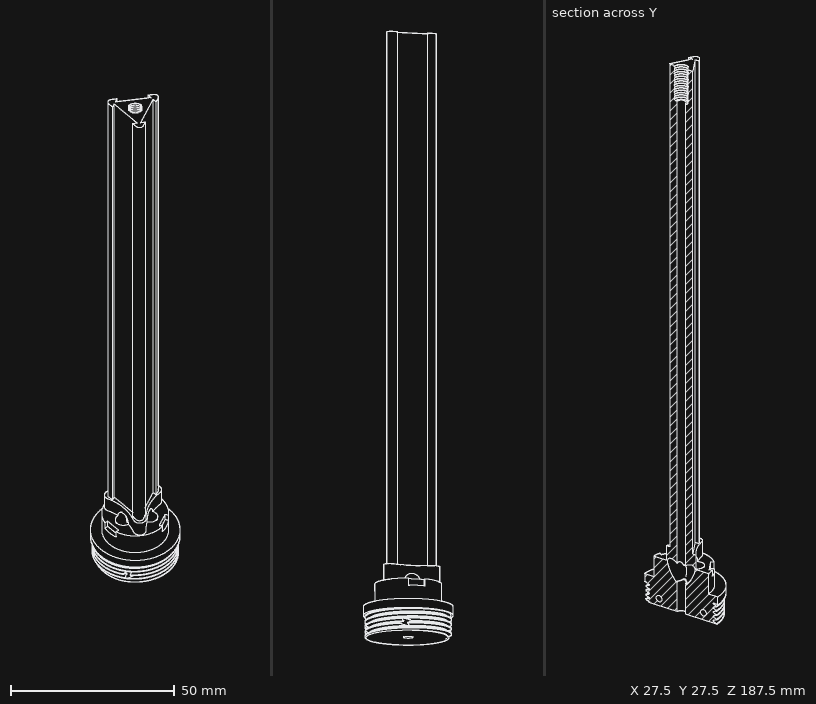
import cadquery as cq
import math

TOTAL_HEIGHT = 187.49
THREAD_TOP = 6.8
FLANGE_TOP = 9.6
COLLAR_TOP = 16.6
SOCKET_TOP = 21.6

FLANGE_DIA = 27.5
COLLAR_DIA = 20.5

THREAD_ROOT_DIA = 24.0
THREAD_CREST_DIA = 26.6
THREAD_PITCH = 1.5
THREAD_BASE_WIDTH = 1.42
THREAD_CREST_WIDTH = 0.3
THREAD_OVERLAP = 0.15
THREAD_PHASE = 0.1

SIDES = 3
ROD_LOBE_DISTANCE = 7.6
ROD_LOBE_RADIUS = 1.25
ROD_FLAT_DISTANCE = 3.8
ROD_FLAT_HALF_WIDTH = 5.5
ROD_LIP_HALF_WIDTH = 4.8
SOCKET_LOBE_DISTANCE = 8.0
SOCKET_LOBE_RADIUS = 1.94
SOCKET_SIDE_DISTANCE = 4.6

PASSAGE_DIA = 5.0
PASSAGE_DISTANCE = 4.7
PASSAGE_TILT = 45.0
PASSAGE_LENGTH = PASSAGE_DISTANCE / math.sin(math.radians(PASSAGE_TILT))
SPOT_WIDTH = 5.2
SPOT_DEPTH = 2.2
SPOT_FACE_DISTANCE = 8.8

BORE_DIA = 3.0
SCREW_HOLE_DIA = 4.23
SCREW_THREAD_DIA = 5.12
SCREW_PITCH = 0.8
SCREW_TURNS = 15

CROSS_HOLE_DIA = 2.0
CROSS_HOLE_OFFSET = 8.3
CROSS_HOLE_HEIGHT = 2.5

SIDE_ANGLES = [360 / SIDES * i for i in range(SIDES)]


def turned(point, angle):
    """Rotate an XY point about the axis by an angle in degrees."""
    c = math.cos(math.radians(angle))
    s = math.sin(math.radians(angle))
    return (point[0] * c - point[1] * s, point[0] * s + point[1] * c)


def toward(start, end, distance):
    """Point at a distance from start on the line to end."""
    span = math.dist(start, end)
    return tuple(a + (b - a) * distance / span for a, b in zip(start, end))


def lobe_center(distance):
    """Centre of the lobe at the right-hand end of the side that faces -Y."""
    return turned((distance, 0), -180 / SIDES / 2)


def lobe_tip(distance, radius):
    """Outermost point of that lobe."""
    return lobe_center(distance + radius)


def mirrored(point):
    return (-point[0], point[1])


def next_side(point):
    """Where a point at the left end of one side falls at the left end of the next."""
    return turned(mirrored(point), 360 / SIDES)


def rod_section():
    """Flats set back between round lobes, whose lips overhang the ends of the flats."""
    center = lobe_center(ROD_LOBE_DISTANCE)
    lip_y = center[1] - ROD_LOBE_RADIUS
    flat_end = (ROD_FLAT_HALF_WIDTH, -ROD_FLAT_DISTANCE)
    lip_corner = (ROD_LIP_HALF_WIDTH, lip_y)
    lip_end = (center[0], lip_y)
    tip = lobe_tip(ROD_LOBE_DISTANCE, ROD_LOBE_RADIUS)

    outline = cq.Workplane("XY").moveTo(*mirrored(lip_end))
    for angle in SIDE_ANGLES:
        for point in (mirrored(lip_corner), mirrored(flat_end), flat_end, lip_corner, lip_end):
            outline = outline.lineTo(*turned(point, angle))
        outline = outline.threePointArc(turned(tip, angle), turned(next_side(lip_end), angle))
    return outline.close()


def socket_section():
    """Hollow sides tangent to round lobes."""
    center = lobe_center(SOCKET_LOBE_DISTANCE)
    run = center[0]
    drop = center[1] + SOCKET_SIDE_DISTANCE
    side_radius = (run**2 + drop**2 - SOCKET_LOBE_RADIUS**2) / (2 * (SOCKET_LOBE_RADIUS - drop))
    tangent = toward(center, (0, -SOCKET_SIDE_DISTANCE - side_radius), SOCKET_LOBE_RADIUS)
    tip = lobe_tip(SOCKET_LOBE_DISTANCE, SOCKET_LOBE_RADIUS)

    outline = cq.Workplane("XY").moveTo(*mirrored(tangent))
    for angle in SIDE_ANGLES:
        side_middle = turned((0, -SOCKET_SIDE_DISTANCE), angle)
        outline = outline.threePointArc(side_middle, turned(tangent, angle))
        outline = outline.threePointArc(turned(tip, angle), turned(next_side(tangent), angle))
    return outline.close()


def disc(diameter, bottom, top):
    return cq.Workplane("XY").workplane(offset=bottom).circle(diameter / 2).extrude(top - bottom)


def threaded_end():
    """Core with a right-hand helical ridge, made overlong and trimmed to its length."""
    start_z = THREAD_PHASE - THREAD_PITCH
    foot = THREAD_ROOT_DIA / 2 - THREAD_OVERLAP
    crest = THREAD_CREST_DIA / 2
    profile = [
        (foot, -THREAD_BASE_WIDTH / 2),
        (crest, -THREAD_CREST_WIDTH / 2),
        (crest, THREAD_CREST_WIDTH / 2),
        (foot, THREAD_BASE_WIDTH / 2),
    ]
    length = THREAD_TOP + 2 * THREAD_PITCH
    helix = cq.Wire.makeHelix(THREAD_PITCH, length, foot, center=cq.Vector(0, 0, start_z))
    section = cq.Workplane("XZ", origin=(0, 0, start_z)).polyline(profile).close()
    ridge = section.sweep(cq.Workplane(obj=helix), isFrenet=True)
    core = disc(THREAD_ROOT_DIA, start_z - THREAD_PITCH, start_z + length + THREAD_PITCH)
    return core.union(ridge).intersect(disc(FLANGE_DIA, 0, THREAD_TOP))


def side_recesses():
    """Round-ended passage sloping down to the axis from the foot of each socket side.

    A flat spot face on the collar lies outside each one.
    """
    ball = cq.Workplane("XY").sphere(PASSAGE_DIA / 2)
    passage = cq.Workplane("XY").circle(PASSAGE_DIA / 2).extrude(-PASSAGE_LENGTH)
    passage = passage.rotate((0, 0, 0), (1, 0, 0), PASSAGE_TILT)
    passage = passage.union(ball).translate((0, -PASSAGE_DISTANCE, COLLAR_TOP))
    spot_length = COLLAR_DIA / 2
    spot = cq.Workplane("XY").box(SPOT_WIDTH, spot_length, SPOT_DEPTH, centered=(True, False, False))
    spot = spot.translate((0, -SPOT_FACE_DISTANCE - spot_length, COLLAR_TOP - SPOT_DEPTH))
    pair = passage.union(spot)
    recesses = cq.Workplane("XY")
    for angle in SIDE_ANGLES:
        recesses = recesses.union(pair.rotate((0, 0, 0), (0, 0, 1), angle))
    return recesses


def axial_bore():
    """Through bore with a screw hole at the rod end, its thread formed as rings of V grooves."""
    bottom = TOTAL_HEIGHT - SCREW_PITCH * SCREW_TURNS
    outline = cq.Workplane("XZ").moveTo(0, bottom).lineTo(SCREW_HOLE_DIA / 2, bottom)
    for turn in range(SCREW_TURNS):
        groove_bottom = bottom + SCREW_PITCH * turn
        outline = outline.lineTo(SCREW_THREAD_DIA / 2, groove_bottom + SCREW_PITCH / 2)
        outline = outline.lineTo(SCREW_HOLE_DIA / 2, groove_bottom + SCREW_PITCH)
    screw_hole = outline.lineTo(0, TOTAL_HEIGHT).close().revolve(360, (0, 0, 0), (0, 1, 0))
    return disc(BORE_DIA, 0, TOTAL_HEIGHT).union(screw_hole)


def cross_holes():
    return (
        cq.Workplane("XZ", origin=(0, 0, CROSS_HOLE_HEIGHT))
        .pushPoints([(-CROSS_HOLE_OFFSET, 0), (CROSS_HOLE_OFFSET, 0)])
        .circle(CROSS_HOLE_DIA / 2)
        .extrude(FLANGE_DIA / 2, both=True)
    )


flange = disc(FLANGE_DIA, THREAD_TOP, FLANGE_TOP)
collar = disc(COLLAR_DIA, FLANGE_TOP, COLLAR_TOP)
socket = socket_section().extrude(SOCKET_TOP - FLANGE_TOP).translate((0, 0, FLANGE_TOP))
rod = rod_section().extrude(TOTAL_HEIGHT - FLANGE_TOP).translate((0, 0, FLANGE_TOP))

result = threaded_end().union(flange).union(collar).union(socket)
result = result.union(rod).cut(side_recesses())
result = result.cut(axial_bore()).cut(cross_holes())